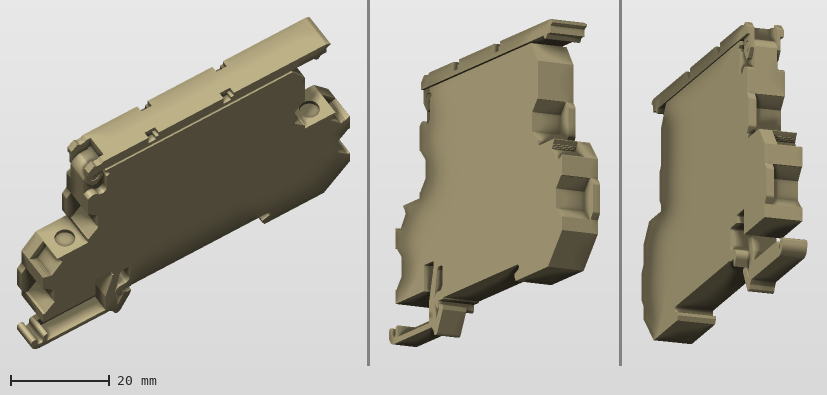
import cadquery as cq
import math


thickness = 8.12
base_half = 36.9
upper_half = 26.1
shoulder_z = 26.0
housing_top = 48.0
shoulder_chamfer_y = 3.5
shoulder_chamfer_z = 4.1
back_chamfer_y = 3.05
back_chamfer_z = 4.3
foot_chamfer = 6.3
rail_seat_z = 3.25

bump_height = 1.0
bump_width = 1.65
funnel_taper = 2.25
lower_funnel_ledge = 0.5
upper_funnel_ledge = 0.2
funnel_size = 8.6
bump_taper = 1.3
bump_round = 0.8
lower_funnel_z = 13.45
upper_funnel_z = 31.5
pocket_x = 2.8
pocket_depth = 2.1
pocket_rim = 0.15
pocket_wall_taper = 0.2
pocket_wall_depth = 1.1
pocket_terraces = 3
pocket_terrace_width = 0.13
screw_y = 29.4
screw_x = 4.6
screw_radius = 2.1
screw_depth = 1.0

hinge_y = -23.9
pin_z = 46.4
pin_radius = 0.9
pin_hole_radius = 1.1
tongue_drop = 2.2
tongue_radius = 3.0
tongue_width = 4.85
tongue_back = -21.3
ear_outer_width = 6.5
ear_foot_z = 43.75
ear_shoulder_z = 45.6
ear_back = -22.0
lid_width = 7.8
lid_top = 51.3
lid_bottom = 48.45
lid_back = 31.33
lid_front = -25.9
notch_length = 2.5
notch_depth = 1.9
notch_step_length = 0.7
notch_step_depth = 1.0
notch_width = 1.5
notch_pitch = 18.05
near_notch_y = 8.93
far_notch_y = 6.6

bay_roof = 10.05
leg_top = 9.55
leg_bend_z = 3.9
leg_root_back = -18.0
leg_root_front = -20.2
arm_top = 1.65
arm_bottom = -1.9
latch_bottom = -3.85
latch_tip = -39.76
leg_foot_y = -21.9
arm_rail_end = 4.2
arm_floor_z = -0.75
arm_ridge_back = -35.85

mid_x = thickness / 2


def slab(profile, x_start, x_end):
    """Extrude a closed YZ profile between two X positions."""
    return profile.extrude(x_end - x_start).translate((x_start, 0, 0))


def polygon(points):
    return cq.Workplane("YZ").polyline(points).close()


def make_housing():
    profile = (
        cq.Workplane("YZ")
        .moveTo(base_half - foot_chamfer, 0)
        .lineTo(16.3, 0)
        .lineTo(15.8, 0.95)
        .lineTo(15.8, 1.6)
        .lineTo(17.35, 2.1)
        .threePointArc((17.7, 2.75), (17.1, rail_seat_z))
        .lineTo(-15.7, rail_seat_z)
        .lineTo(-15.8, 3.0)
        .lineTo(-17.9, 3.0)
        .lineTo(-17.95, 1.75)
        .lineTo(-18.35, 1.3)
        .lineTo(-19.2, 2.5)
        .threePointArc((-19.25, 4.35), (-18.25, 4.95))
        .lineTo(-17.1, 4.95)
        .threePointArc((-16.35, 5.4), (-16.05, 6.1))
        .lineTo(-16.05, bay_roof - 0.45)
        .threePointArc((-16.18, bay_roof - 0.13), (-16.5, bay_roof))
        .lineTo(-20.0, bay_roof)
        .lineTo(-20.0, 11.3)
        .threePointArc((-20.12, 11.58), (-20.4, 11.7))
        .lineTo(-24.25, 11.7)
        .lineTo(-24.25, foot_chamfer)
        .lineTo(-base_half, foot_chamfer)
        .lineTo(-base_half, shoulder_z - shoulder_chamfer_z)
        .lineTo(-base_half + shoulder_chamfer_y, shoulder_z)
        .lineTo(-upper_half, shoulder_z)
        .lineTo(-upper_half, housing_top - tongue_drop)
        .radiusArc((-upper_half + tongue_drop, housing_top), tongue_radius)
        .lineTo(upper_half - back_chamfer_y, housing_top)
        .lineTo(upper_half, housing_top - back_chamfer_z)
        .lineTo(upper_half, shoulder_z)
        .lineTo(base_half - shoulder_chamfer_y, shoulder_z)
        .lineTo(base_half, shoulder_z - shoulder_chamfer_z)
        .lineTo(base_half, foot_chamfer)
        .close()
    )
    return slab(profile, 0, thickness)


def wire_funnel(end_y, center_z, ledge, side):
    """Tapered opening in an end face, clear of the lip and open to +X."""
    half = funnel_size / 2
    ledge_y = side * (end_y - ledge)
    inner_y = side * (end_y - ledge - funnel_taper)
    points = [
        (side * end_y, center_z - half),
        (ledge_y, center_z - half),
        (inner_y, center_z - half + funnel_taper),
        (inner_y, center_z + half - funnel_taper),
        (ledge_y, center_z + half),
        (side * end_y, center_z + half),
    ]
    return slab(polygon(points), bump_width, thickness)


def lip(end_y, center_z, side):
    """Raised lip with rounded shoulders beside a wire funnel."""
    half = funnel_size / 2
    outer_y = side * (end_y + bump_height)
    points = [
        (side * (end_y - bump_height), center_z - half),
        (side * end_y, center_z - half),
        (outer_y, center_z - half + bump_taper),
        (outer_y, center_z + half - bump_taper),
        (side * end_y, center_z + half),
        (side * (end_y - bump_height), center_z + half),
    ]
    body = slab(polygon(points), 0, bump_width)
    outer_edges = "|X and >Y" if side > 0 else "|X and <Y"
    return body.edges(outer_edges).fillet(bump_round)


def chamfer_pocket(side):
    """Pocket with terraced end walls sunk square into a shoulder chamfer."""
    length = math.hypot(shoulder_chamfer_y, shoulder_chamfer_z)
    along_y = shoulder_chamfer_y / length
    along_z = -shoulder_chamfer_z / length
    top_y = base_half - shoulder_chamfer_y

    def place(distance, depth):
        y = top_y + along_y * distance + along_z * depth
        z = shoulder_z + along_z * distance - along_y * depth
        return (side * y, z)

    inset = pocket_rim + pocket_wall_taper
    end_wall = [(pocket_rim, 0), (inset, pocket_wall_depth)]
    terrace_drop = (pocket_depth - pocket_wall_depth) / pocket_terraces
    for terrace in range(pocket_terraces):
        depth = pocket_wall_depth + terrace * terrace_drop
        inset += pocket_terrace_width
        end_wall += [(inset, depth), (inset, depth + terrace_drop)]
    upper_wall = [place(distance, depth) for distance, depth in end_wall]
    lower_wall = [place(length - distance, depth) for distance, depth in reversed(end_wall)]
    points = upper_wall + lower_wall
    return slab(polygon(points), pocket_x, thickness)


def screw_hole(side):
    return (
        cq.Workplane("XY", origin=(screw_x, side * screw_y, shoulder_z - screw_depth))
        .circle(screw_radius)
        .extrude(screw_depth)
    )


def hinge_recess(x_start, x_end):
    """Side recess that leaves the central tongue and clears a lid ear."""
    profile = (
        cq.Workplane("YZ")
        .moveTo(-upper_half, housing_top)
        .lineTo(-21.85, housing_top)
        .lineTo(-21.75, 47.2)
        .lineTo(-20.95, 46.7)
        .lineTo(-20.95, 46.2)
        .lineTo(-21.6, 45.7)
        .lineTo(-21.6, 41.8)
        .threePointArc((-22.6, 40.65), (-23.75, 41.3))
        .threePointArc((-24.75, 41.7), (-upper_half, 41.0))
        .close()
    )
    return slab(profile, x_start, x_end)


def make_lid_bar():
    points = [
        (lid_back, lid_top),
        (lid_back + 0.95, 50.85),
        (lid_back + 0.95, 50.4),
        (lid_back, 49.9),
        (lid_back, lid_bottom),
        (30.0, lid_bottom),
        (29.4, 47.65),
        (28.9, 47.65),
        (28.3, lid_bottom),
        (lid_front, lid_bottom),
        (lid_front, 49.9),
        (-24.45, lid_top),
        (-23.85, 50.8),
        (-22.8, 50.8),
        (-22.2, lid_top),
    ]
    return slab(polygon(points), mid_x - lid_width / 2, mid_x + lid_width / 2)


def tongue_clearance():
    """Opening through the lid above the housing tongue."""
    return cq.Workplane("XY").box(
        tongue_width, tongue_back - lid_front, lid_top - lid_bottom, centered=(True, False, False)
    ).translate((mid_x, lid_front, lid_bottom))


def lid_notch(low_y, x_start):
    """Stepped marker notch in a top edge of the lid."""
    high_y = low_y + notch_length
    points = [
        (low_y, lid_top),
        (low_y, lid_top - notch_depth),
        (high_y - notch_step_length, lid_top - notch_depth),
        (high_y - notch_step_length, lid_top - notch_step_depth),
        (high_y, lid_top - notch_step_depth),
        (high_y, lid_top),
    ]
    return slab(polygon(points), x_start, x_start + notch_width)


def make_ear(x_start, x_end):
    """Hinge ear of the lid with its bore and the pin standing in it."""
    points = [
        (ear_back, lid_bottom),
        (ear_back, ear_shoulder_z),
        (-23.4, ear_foot_z),
        (-24.5, ear_foot_z),
        (lid_front, ear_shoulder_z),
        (lid_front, lid_bottom),
    ]
    pivot = cq.Workplane("YZ").center(hinge_y, pin_z)
    bore = slab(pivot.circle(pin_hole_radius), x_start, x_end)
    pin = slab(pivot.circle(pin_radius), x_start, x_end)
    return slab(polygon(points), x_start, x_end).cut(bore).union(pin)


def make_latch():
    profile = (
        cq.Workplane("YZ")
        .moveTo(leg_root_back, bay_roof)
        .lineTo(-18.4, leg_top)
        .lineTo(-19.55, 4.1)
        .lineTo(-19.65, 3.1)
        .lineTo(-18.95, -1.0)
        .lineTo(-17.9, 1.0)
        .lineTo(-17.55, 2.3)
        .lineTo(-16.7, 1.75)
        .lineTo(-15.75, 1.7)
        .lineTo(-15.9, 0.8)
        .lineTo(-18.35, -3.5)
        .threePointArc((-19.0, latch_bottom), (-19.7, -3.55))
        .lineTo(-20.05, -2.7)
        .lineTo(-20.85, arm_bottom)
        .lineTo(-37.7, arm_bottom)
        .threePointArc((-39.14, -1.25), (latch_tip, 0.4))
        .lineTo(latch_tip, 0.9)
        .threePointArc((-39.0, arm_top), (-38.25, 0.9))
        .lineTo(-38.25, 0.2)
        .threePointArc((-37.55, -0.5), (-36.85, 0.2))
        .lineTo(-36.85, 0.9)
        .threePointArc((-36.63, 1.43), (-36.1, arm_top))
        .lineTo(leg_foot_y - 0.6, arm_top)
        .threePointArc((leg_foot_y - 0.18, arm_top + 0.18), (leg_foot_y, arm_top + 0.6))
        .lineTo(leg_foot_y, leg_bend_z)
        .lineTo(leg_root_front, leg_top)
        .lineTo(leg_root_front, bay_roof)
        .close()
    )
    thinning = slab(
        polygon([
            (leg_foot_y, arm_floor_z),
            (arm_ridge_back, arm_floor_z),
            (arm_ridge_back, leg_bend_z),
            (leg_foot_y, leg_bend_z),
        ]),
        arm_rail_end,
        thickness,
    )
    return slab(profile, pocket_x, thickness).cut(thinning)


def latch_root():
    """Wedge that widens the top of the latch leg towards -X."""
    rise = bay_roof - leg_top
    return (
        cq.Workplane("XZ", origin=(0, leg_root_back, 0))
        .polyline([(pocket_x, leg_top), (pocket_x - rise, bay_roof), (pocket_x, bay_roof)])
        .close()
        .extrude(leg_root_back - leg_root_front)
    )


tongue_near = mid_x - tongue_width / 2
tongue_far = mid_x + tongue_width / 2
housing = make_housing()
housing = housing.cut(hinge_recess(0, tongue_near)).cut(hinge_recess(tongue_far, thickness))
for end_side in (-1, 1):
    housing = housing.cut(chamfer_pocket(end_side)).cut(screw_hole(end_side))
    for tier_y, funnel_z, funnel_ledge in (
        (base_half, lower_funnel_z, lower_funnel_ledge),
        (upper_half, upper_funnel_z, upper_funnel_ledge),
    ):
        housing = housing.cut(wire_funnel(tier_y, funnel_z, funnel_ledge, end_side))
        housing = housing.union(lip(tier_y, funnel_z, end_side))

ear_near = mid_x - ear_outer_width / 2
ear_far = mid_x + ear_outer_width / 2
lid_near = mid_x - lid_width / 2
lid_far = mid_x + lid_width / 2
lid = make_lid_bar().cut(tongue_clearance())
for pitch_index in (0, 1):
    shift = pitch_index * notch_pitch
    lid = lid.cut(lid_notch(near_notch_y - shift, lid_near))
    lid = lid.cut(lid_notch(far_notch_y - shift, lid_far - notch_width))
lid = lid.union(make_ear(ear_near, tongue_near)).union(make_ear(tongue_far, ear_far))

result = housing.union(lid).union(make_latch()).union(latch_root())